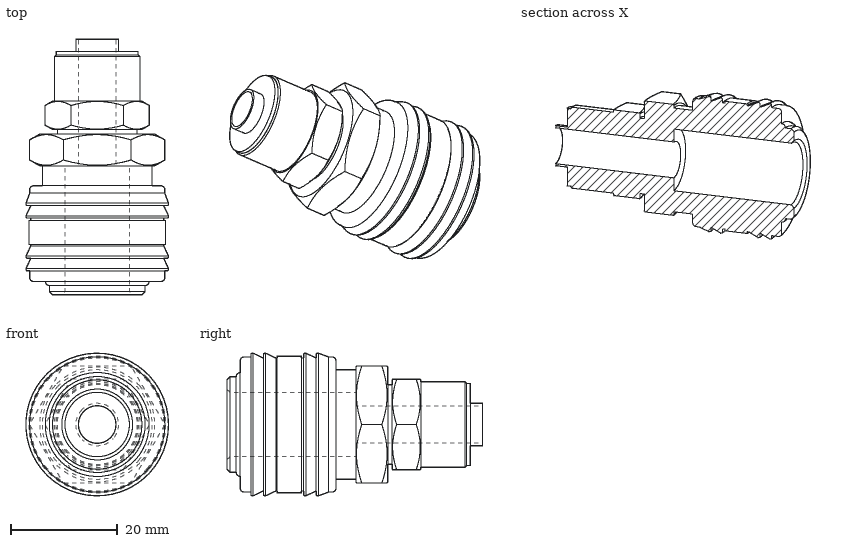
import cadquery as cq
import math

total_length = 48.0

nose_radius = 9.0
nose_chamfer = 0.6
shoulder_round = 0.75
shoulder_radius = nose_radius + shoulder_round

sleeve_front = 2.5
sleeve_rear = 20.5
sleeve_radius = 12.7
sleeve_round = 0.75
groove_radius = 12.5
band_radius = 12.85
band_front = 9.45
band_rear = 14.0

rib_tip_radius = 13.4
rib_tip_round = 0.3
rib_tip_land = 0.15
rib_pitch = 2.35
front_rib_start = 4.5
rear_rib_start = 14.4
rear_end_of_ribs = rear_rib_start + 2 * rib_pitch

body_radius = 10.3
large_hex_flats = 22.0
large_hex_front = 24.2
large_hex_rear = 30.2
neck_radius = 7.5
small_hex_flats = 17.0
small_hex_front = 31.0
small_hex_rear = 36.4
hex_chamfer_angle = math.radians(30)
hex_face_ratio = 0.98

nut_radius = 8.05
nut_rear = 45.0
nut_chamfer = 0.3
collar_radius = 7.7
collar_rear = 45.7
stub_radius = 4.0

socket_radius = 6.05
socket_depth = large_hex_front
socket_chamfer = 0.6
through_radius = 3.5


def cylinder(radius, start, end):
    """Cylinder on the Y axis between two Y positions."""
    return cq.Workplane("XZ", origin=(0, start, 0)).circle(radius).extrude(start - end)


def turned(profile):
    """Revolve a closed profile drawn as (radius, Y) about the Y axis."""
    return profile.close().revolve(360, (0, 0, 0), (0, 1, 0))


def make_nose():
    nose = cylinder(nose_radius, 0, sleeve_front).faces("<Y").chamfer(nose_chamfer)
    shoulder_front = sleeve_front - shoulder_round
    arc_offset = shoulder_round * math.sqrt(0.5)
    arc_middle = (nose_radius + arc_offset, sleeve_front - arc_offset)
    shoulder = turned(
        cq.Workplane("XY")
        .moveTo(0, shoulder_front)
        .lineTo(nose_radius, shoulder_front)
        .threePointArc(arc_middle, (shoulder_radius, sleeve_front))
        .lineTo(0, sleeve_front)
    )
    return nose.union(shoulder)


def make_rib(start, root_radius):
    """Grip rib with a flat front face, a rounded tip and a conical back."""
    round_end = start + rib_tip_round
    arc_offset = rib_tip_round * math.sqrt(0.5)
    arc_middle = (rib_tip_radius - rib_tip_round + arc_offset, round_end - arc_offset)
    return turned(
        cq.Workplane("XY")
        .moveTo(0, start)
        .lineTo(rib_tip_radius - rib_tip_round, start)
        .threePointArc(arc_middle, (rib_tip_radius, round_end))
        .lineTo(rib_tip_radius, round_end + rib_tip_land)
        .lineTo(root_radius, start + rib_pitch)
        .lineTo(0, start + rib_pitch)
    )


def make_sleeve():
    front_ring = cylinder(sleeve_radius, sleeve_front, front_rib_start)
    rear_ring = cylinder(sleeve_radius, rear_end_of_ribs, sleeve_rear)
    sleeve = (
        cylinder(groove_radius, front_rib_start, rear_end_of_ribs)
        .union(front_ring.faces("<Y").edges().fillet(sleeve_round))
        .union(rear_ring.faces(">Y").edges().fillet(sleeve_round))
        .union(cylinder(band_radius, band_front, band_rear))
    )
    for start in (front_rib_start, front_rib_start + rib_pitch, rear_rib_start):
        sleeve = sleeve.union(make_rib(start, groove_radius))
    return sleeve.union(make_rib(rear_rib_start + rib_pitch, sleeve_radius))


def make_hexagon(flats, front, rear):
    """Hexagon with corners on the X axis and turned 30 degree chamfers at both ends."""
    corner_radius = flats / 2 / math.cos(math.pi / 6)
    face_radius = flats / 2 * hex_face_ratio
    chamfer_length = (corner_radius - face_radius) * math.tan(hex_chamfer_angle)
    prism = (
        cq.Workplane("XZ", origin=(0, front, 0))
        .polygon(6, 2 * corner_radius)
        .extrude(front - rear)
    )
    envelope = turned(
        cq.Workplane("XY")
        .moveTo(0, front)
        .lineTo(face_radius, front)
        .lineTo(corner_radius, front + chamfer_length)
        .lineTo(corner_radius, rear - chamfer_length)
        .lineTo(face_radius, rear)
        .lineTo(0, rear)
    )
    return prism.intersect(envelope)


def make_tail():
    nut = cylinder(nut_radius, small_hex_rear, nut_rear).faces(">Y").chamfer(nut_chamfer)
    return (
        cylinder(body_radius, sleeve_rear, large_hex_front)
        .union(make_hexagon(large_hex_flats, large_hex_front, large_hex_rear))
        .union(cylinder(neck_radius, large_hex_rear, small_hex_front))
        .union(make_hexagon(small_hex_flats, small_hex_front, small_hex_rear))
        .union(nut)
        .union(cylinder(collar_radius, nut_rear, collar_rear))
        .union(cylinder(stub_radius, collar_rear, total_length))
    )


def make_bores():
    mouth_radius = socket_radius + socket_chamfer
    socket = turned(
        cq.Workplane("XY")
        .lineTo(mouth_radius, 0)
        .lineTo(socket_radius, socket_chamfer)
        .lineTo(socket_radius, socket_depth)
        .lineTo(0, socket_depth)
    )
    return socket.union(cylinder(through_radius, 0, total_length))


result = make_nose().union(make_sleeve()).union(make_tail()).cut(make_bores())